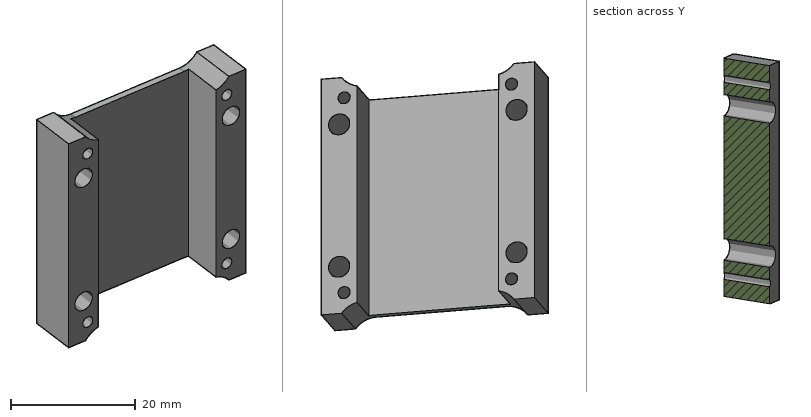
import cadquery as cq
import math

depth = 8.65
width = 35.55
height = 39.85

plate_thickness = 1.25
wall_width = 5.98

land_width = 3.43
relief_depth = 1.7
relief_arc_radius = 4.3

large_hole_diameter = 3.5
large_hole_from_side = 3.0
large_hole_from_end = 7.9
small_hole_diameter = 2.0
small_hole_from_side = 3.83
small_hole_from_end = 3.45


def channel():
    """U-shaped section: the plate on the -X side and a wall along each side."""
    block = cq.Workplane("XY").box(depth, width, height, centered=(False, True, True))
    opening = cq.Workplane("XY").box(
        depth - plate_thickness, width - 2 * wall_width, height, centered=(False, True, True)
    )
    return block.cut(opening.translate((plate_thickness, 0, 0)))


def edge_relief(side):
    """Cutter for the relief at the top (side = 1) or bottom (side = -1)."""
    outer_y = width / 2 - land_width
    edge_z = height / 2
    floor_z = edge_z - relief_depth
    centre_z = floor_z + relief_arc_radius
    arc_angle = math.acos((relief_arc_radius - relief_depth) / relief_arc_radius)
    inner_y = outer_y - relief_arc_radius * math.sin(arc_angle)
    middle_y = inner_y + relief_arc_radius * math.sin(arc_angle / 2)
    middle_z = centre_z - relief_arc_radius * math.cos(arc_angle / 2)
    return (
        cq.Workplane("YZ")
        .moveTo(-outer_y, side * edge_z)
        .threePointArc((-middle_y, side * middle_z), (-inner_y, side * floor_z))
        .lineTo(inner_y, side * floor_z)
        .threePointArc((middle_y, side * middle_z), (outer_y, side * edge_z))
        .close()
        .extrude(depth)
    )


def corner_holes(diameter, from_side, from_end):
    """Four cylinders along X, one near each corner."""
    spacing_y = width - 2 * from_side
    spacing_z = height - 2 * from_end
    return (
        cq.Workplane("YZ")
        .rect(spacing_y, spacing_z, forConstruction=True)
        .vertices()
        .circle(diameter / 2)
        .extrude(depth)
    )


result = channel()
for side in (1, -1):
    result = result.cut(edge_relief(side))
result = result.cut(corner_holes(large_hole_diameter, large_hole_from_side, large_hole_from_end))
result = result.cut(corner_holes(small_hole_diameter, small_hole_from_side, small_hole_from_end))